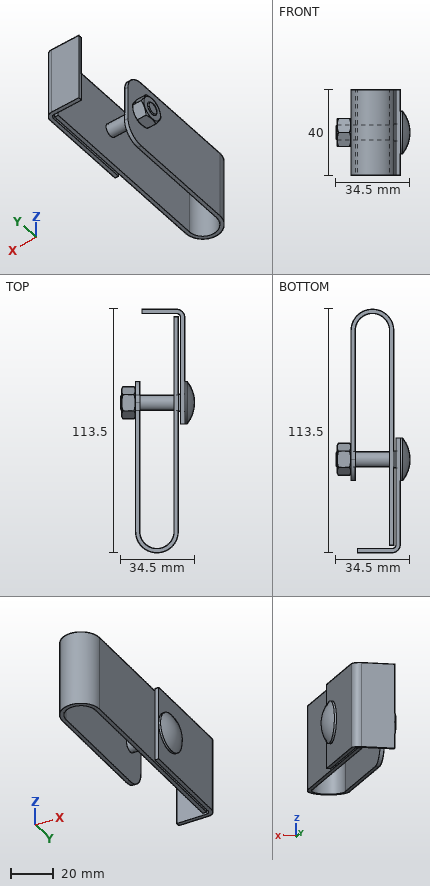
import cadquery as cq
import math

strip_height = 40.0
sheet = 2.0

clip_width = 20.0
clip_length = 110.0
clip_radius = clip_width / 2
corner_radius = 10.0
short_arm_end = corner_radius
clip_bottom = -69.9
long_arm_end = clip_bottom + clip_length
bend_center_y = clip_bottom + clip_radius
clip_inner_radius = clip_radius - sheet

bracket_gap = 1.0
bracket_leg = 20.0
bracket_bend_radius = 4.0
bracket_overhang = 3.5
bracket_bottom = -10.0
bracket_left = clip_radius + bracket_gap
bracket_right = bracket_left + sheet
bracket_top = long_arm_end + bracket_overhang

nut_thickness = 6.5
nut_across_flats = 13.0
nut_face_diameter = 12.7
nut_chamfer_angle = 30
nut_left = -clip_radius - nut_thickness

shank_diameter = 7.0
bolt_tip_chamfer = 0.5
bolt_protrusion = 0.5
neck_side = 8.0
head_diameter = 20.0
head_rim = 1.0
head_height = 4.5
bolt_left = nut_left - bolt_protrusion


def cylinder_x(start, end, diameter):
    """Cylinder on the bolt axis between two X positions."""
    return cq.Workplane("YZ", origin=(start, 0, 0)).circle(diameter / 2).extrude(end - start)


def square_neck():
    """Square bolt neck through the bracket and the gap beside the clip."""
    neck = cq.Workplane("YZ", origin=(clip_radius, 0, 0)).rect(neck_side, neck_side)
    return neck.extrude(bracket_right - clip_radius)


def make_clip():
    outline = (
        cq.Workplane("XY", origin=(0, 0, -strip_height / 2))
        .moveTo(-clip_radius, short_arm_end)
        .lineTo(-clip_radius, bend_center_y)
        .threePointArc((0, clip_bottom), (clip_radius, bend_center_y))
        .lineTo(clip_radius, long_arm_end)
        .lineTo(clip_inner_radius, long_arm_end)
        .lineTo(clip_inner_radius, bend_center_y)
        .threePointArc((0, clip_bottom + sheet), (-clip_inner_radius, bend_center_y))
        .lineTo(-clip_inner_radius, short_arm_end)
        .close()
    )
    clip = outline.extrude(strip_height)
    clip = clip.edges("|X").edges("<X").edges(">Y").fillet(corner_radius)
    return clip.cut(cylinder_x(-clip_radius, clip_radius, shank_diameter))


def make_bracket():
    bracket = (
        cq.Workplane("XY", origin=(0, 0, -strip_height / 2))
        .moveTo(bracket_right, bracket_bottom)
        .lineTo(bracket_right, bracket_top)
        .lineTo(bracket_right - bracket_leg, bracket_top)
        .lineTo(bracket_right - bracket_leg, bracket_top - sheet)
        .lineTo(bracket_left, bracket_top - sheet)
        .lineTo(bracket_left, bracket_bottom)
        .close()
        .extrude(strip_height)
    )
    bracket = bracket.edges("|Z").edges(">X and >Y").fillet(bracket_bend_radius)
    inner_corner = cq.selectors.NearestToPointSelector((bracket_left, bracket_top - sheet, 0))
    bracket = bracket.edges("|Z").edges(inner_corner).fillet(bracket_bend_radius - sheet)
    return bracket.cut(square_neck())


def make_bolt():
    shank = cylinder_x(bolt_left, clip_radius, shank_diameter).faces("<X").chamfer(bolt_tip_chamfer)
    head_radius = head_diameter / 2
    dome_rise = head_height - head_rim
    dome_radius = (head_radius**2 + dome_rise**2) / (2 * dome_rise)
    head_tip = bracket_right + head_height
    half_angle = math.asin(head_radius / dome_radius) / 2
    dome_middle = (
        head_tip - dome_radius * (1 - math.cos(half_angle)),
        dome_radius * math.sin(half_angle),
    )
    head = (
        cq.Workplane("XY")
        .moveTo(bracket_right, 0)
        .lineTo(bracket_right, head_radius)
        .lineTo(bracket_right + head_rim, head_radius)
        .threePointArc(dome_middle, (head_tip, 0))
        .close()
        .revolve(360, (0, 0, 0), (1, 0, 0))
    )
    return shank.union(square_neck()).union(head)


def make_nut():
    across_corners = nut_across_flats / math.cos(math.radians(30))
    blank = cq.Workplane("YZ", origin=(nut_left, 0, 0)).polygon(6, across_corners).extrude(nut_thickness)
    face_radius = nut_face_diameter / 2
    corner_radius_of_hexagon = across_corners / 2
    cone_depth = (corner_radius_of_hexagon - face_radius) * math.tan(math.radians(nut_chamfer_angle))
    envelope = (
        cq.Workplane("XY")
        .moveTo(nut_left, 0)
        .lineTo(nut_left, face_radius)
        .lineTo(nut_left + cone_depth, corner_radius_of_hexagon)
        .lineTo(-clip_radius - cone_depth, corner_radius_of_hexagon)
        .lineTo(-clip_radius, face_radius)
        .lineTo(-clip_radius, 0)
        .close()
        .revolve(360, (0, 0, 0), (1, 0, 0))
    )
    return blank.intersect(envelope).cut(cylinder_x(nut_left, -clip_radius, shank_diameter))


clip = make_clip()
bracket = make_bracket()
bolt = make_bolt()
nut = make_nut()

result = cq.Compound.makeCompound([clip.val(), bracket.val(), bolt.val(), nut.val()])